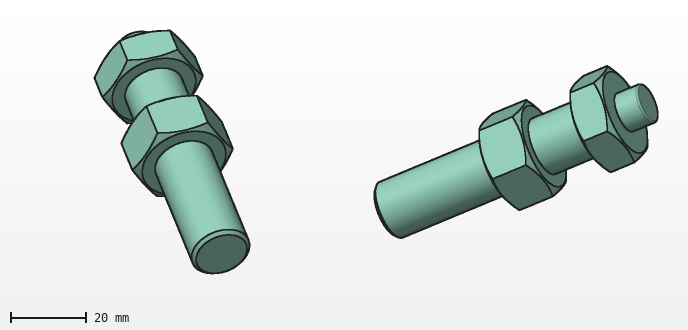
import cadquery as cq
import math

total_length = 80.0
stud_diameter = 16.0
stud_end_chamfer = 1.0

pin_diameter = 11.0
pin_length = 7.0
pin_end_fillet = 0.5

across_flats = 24.0
across_corners = across_flats / math.cos(math.radians(30))
head_thickness = 10.0
nut_thickness = 13.0
head_to_nut_gap = 15.0

face_circle_diameter = 23.0
corner_chamfer_angle = 30.0

head_start = pin_length
head_end = head_start + head_thickness
nut_start = head_end + head_to_nut_gap


def round_bar(start, length, diameter):
    """Cylinder on the X axis, running from start toward +X."""
    return cq.Workplane("YZ", origin=(start, 0, 0)).circle(diameter / 2).extrude(length)


def chamfered_hexagon(start, thickness):
    """Hexagonal prism on the X axis with its corners cut by a cone at each face."""
    prism = (
        cq.Workplane("YZ", origin=(start, 0, 0))
        .polygon(6, across_corners)
        .extrude(thickness)
    )
    end = start + thickness
    face_radius = face_circle_diameter / 2
    corner_radius = across_corners / 2
    chamfer_depth = (corner_radius - face_radius) * math.tan(math.radians(corner_chamfer_angle))
    envelope = (
        cq.Workplane("XY")
        .moveTo(start, 0)
        .lineTo(start, face_radius)
        .lineTo(start + chamfer_depth, corner_radius)
        .lineTo(end - chamfer_depth, corner_radius)
        .lineTo(end, face_radius)
        .lineTo(end, 0)
        .close()
        .revolve(360, (0, 0, 0), (1, 0, 0))
    )
    return prism.intersect(envelope)


pin = round_bar(0, pin_length, pin_diameter).faces("<X").fillet(pin_end_fillet)
stud = round_bar(pin_length, total_length - pin_length, stud_diameter)
stud = stud.faces(">X").chamfer(stud_end_chamfer)
head = chamfered_hexagon(head_start, head_thickness)
nut = chamfered_hexagon(nut_start, nut_thickness)

result = pin.union(stud).union(head).union(nut)